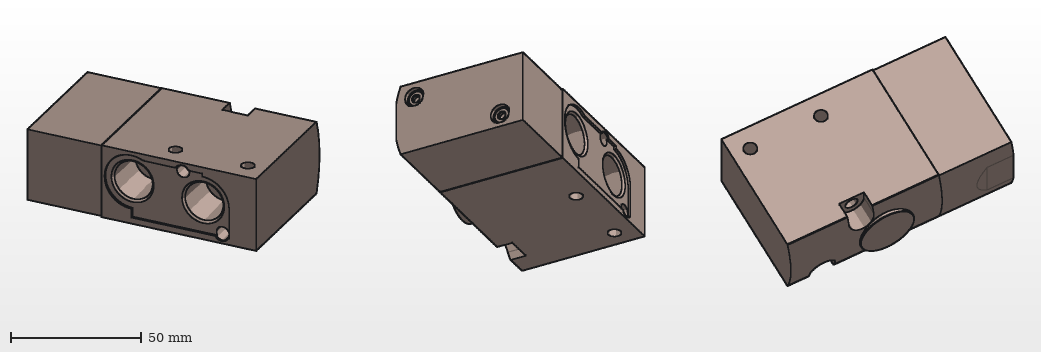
import cadquery as cq
import math

LENGTH = 97.5
HEIGHT = 31.0
REACH = 57.0
MID_Z = HEIGHT / 2

CAP_LENGTH = 31.6
CAP_INSET = 0.3
CAP_TIP_Y = 55.6
CAP_RAMP_START = 11.7
CAP_RAMP_END = 16.6

CROWN_Y = 56.4
CROWN_EDGE_Y = 53.6
CROWN_RISE = CROWN_Y - CROWN_EDGE_Y
CROWN_RADIUS = (MID_Z ** 2 + CROWN_RISE ** 2) / (2 * CROWN_RISE)
CROWN_CHAMFER = 0.2

BOSS_DIAMETER = 23.5
BOSS_X = 55.8
BOSS_Z = 13.0
BOSS_CHAMFER = 0.2

PORT_DIAMETER = 16.2
PORT_END_DIAMETER = 15.5
PORT_MOUTH_DIAMETER = 18.0
PORT_CHAMFER = (PORT_MOUTH_DIAMETER - PORT_DIAMETER) / 2
PORT_DEPTH = 19.5
LEFT_PORT = (44.5, 17.9)
RIGHT_PORT = (74.5, MID_Z)
RECESS_RADIUS = 11.5
RECESS_TOP = 28.3
RECESS_BOTTOM = 2.6
RECESS_DEPTH = 1.0

HOLE_DIAMETER = 5.4
HOLE_MOUTH_DIAMETER = 6.0
HOLE_CHAMFER = (HOLE_MOUTH_DIAMETER - HOLE_DIAMETER) / 2
UPPER_HOLE_Z = 27.0
CROSS_HOLES = ((66.0, UPPER_HOLE_Z), (82.9, HEIGHT - UPPER_HOLE_Z))
CROSS_SEAT_WIDTH = 10.8
CROSS_SEAT_Y = 46.9
VERTICAL_HOLES = ((58.9, 9.0), (89.7, 9.0))

SCREW_PLACES = ((10.3, 6.0), (47.8, 24.4))
COUNTERBORE_DIAMETER = 8.0
HEAD_DIAMETER = 7.0
HEAD_TOP_DIAMETER = 6.0
HEAD_SINK = 1.5
HEAD_HEIGHT = 3.9
HEAD_CHAMFER = (HEAD_DIAMETER - HEAD_TOP_DIAMETER) / 2
SOCKET_MOUTH_DIAMETER = 3.5
SOCKET_DIAMETER = 3.0
SOCKET_CHAMFER = (SOCKET_MOUTH_DIAMETER - SOCKET_DIAMETER) / 2
SOCKET_DEPTH = 1.5
SOCKET_CONE_DEPTH = 0.9

INWARD = cq.Vector(0, 1, 0)


def crown_y(z):
    """Y of the crowned rear face at height z."""
    return CROWN_Y - CROWN_RADIUS + math.sqrt(CROWN_RADIUS ** 2 - (z - MID_Z) ** 2)


def crowned_block(x_start, x_end, inset):
    """Block along X with a crowned rear face, inset on its front, top and bottom."""
    low, high = inset, HEIGHT - inset
    return (
        cq.Workplane("YZ", origin=(x_start, 0, 0))
        .moveTo(inset, low)
        .lineTo(crown_y(low), low)
        .threePointArc((CROWN_Y, MID_Z), (crown_y(high), high))
        .lineTo(inset, high)
        .close()
        .extrude(x_end - x_start)
    )


def cylinder_y(place, diameter, y_start, y_end):
    """Cylinder along +Y centred on place (X, Z)."""
    x, z = place
    start = cq.Vector(x, y_start, z)
    return cq.Workplane(cq.Solid.makeCylinder(diameter / 2, y_end - y_start, start, INWARD))


def cone_y(place, start_diameter, end_diameter, y_start, y_end):
    """Truncated cone along +Y centred on place (X, Z)."""
    x, z = place
    start = cq.Vector(x, y_start, z)
    length = y_end - y_start
    return cq.Workplane(cq.Solid.makeCone(start_diameter / 2, end_diameter / 2, length, start, INWARD))


def port_cutter(place):
    """Blind tapered port with a chamfered mouth, opening on the recess floor."""
    bore_y = RECESS_DEPTH + PORT_CHAMFER
    mouth = cone_y(place, PORT_MOUTH_DIAMETER, PORT_DIAMETER, RECESS_DEPTH, bore_y)
    bore = cone_y(place, PORT_DIAMETER, PORT_END_DIAMETER, bore_y, PORT_DEPTH)
    return mouth.union(bore)


def recess_cutter():
    """Shallow front recess bounded by arcs round the two ports."""
    left_x, left_z = LEFT_PORT
    right_x, right_z = RIGHT_PORT
    right_edge = right_x + RECESS_RADIUS
    top_left_x = left_x + math.sqrt(RECESS_RADIUS ** 2 - (RECESS_TOP - left_z) ** 2)
    diagonal = RECESS_RADIUS * math.sqrt(0.5)
    return (
        cq.Workplane("XZ")
        .moveTo(left_x, left_z - RECESS_RADIUS)
        .lineTo(left_x, RECESS_BOTTOM)
        .lineTo(right_edge, RECESS_BOTTOM)
        .lineTo(right_edge, right_z)
        .threePointArc((right_x + diagonal, right_z + diagonal), (right_x, right_z + RECESS_RADIUS))
        .lineTo(right_x, RECESS_TOP)
        .lineTo(top_left_x, RECESS_TOP)
        .threePointArc((left_x - RECESS_RADIUS, left_z), (left_x, left_z - RECESS_RADIUS))
        .close()
        .extrude(-RECESS_DEPTH)
    )


def cross_seat_cutter(place):
    """Round-bottomed rear slot that opens through the nearer of the top and bottom faces."""
    x, z = place
    open_z = HEIGHT if z > MID_Z else 0
    length = REACH - CROSS_SEAT_Y
    slot = (
        cq.Workplane("XY")
        .box(CROSS_SEAT_WIDTH, length, abs(open_z - z))
        .translate((x, CROSS_SEAT_Y + length / 2, (z + open_z) / 2))
    )
    return slot.union(cylinder_y(place, CROSS_SEAT_WIDTH, CROSS_SEAT_Y, REACH))


def make_body():
    """Valve body with rear boss, front ports and mounting holes."""
    body = crowned_block(CAP_LENGTH, LENGTH, 0)
    body = body.edges("|X").edges(">Y").chamfer(CROWN_CHAMFER)
    boss = cylinder_y((BOSS_X, BOSS_Z), BOSS_DIAMETER, CROSS_SEAT_Y, REACH)
    body = body.union(boss.faces(">Y").chamfer(BOSS_CHAMFER))
    body = body.cut(recess_cutter())
    for place in (LEFT_PORT, RIGHT_PORT):
        body = body.cut(port_cutter(place))
    for place in CROSS_HOLES:
        body = body.cut(cylinder_y(place, HOLE_DIAMETER, 0, REACH))
        body = body.cut(cone_y(place, HOLE_MOUTH_DIAMETER, HOLE_DIAMETER, 0, HOLE_CHAMFER))
        body = body.cut(cross_seat_cutter(place))
    vertical = cq.Workplane("XY").pushPoints(VERTICAL_HOLES).circle(HOLE_DIAMETER / 2).extrude(HEIGHT)
    return body.cut(vertical)


def make_cap():
    """End cap with a ramped rear relief and two screw counterbores."""
    cap = crowned_block(0, CAP_LENGTH, CAP_INSET)
    relief = (
        cq.Workplane("XY")
        .moveTo(0, CAP_TIP_Y)
        .lineTo(CAP_RAMP_START, CAP_TIP_Y)
        .lineTo(CAP_RAMP_END, CROWN_Y)
        .lineTo(0, CROWN_Y)
        .close()
        .extrude(HEIGHT)
    )
    clearance = cq.Workplane("YZ").pushPoints(SCREW_PLACES).circle(COUNTERBORE_DIAMETER / 2)
    seat = cq.Workplane("YZ").pushPoints(SCREW_PLACES).circle(HEAD_DIAMETER / 2)
    cap = cap.cut(relief)
    cap = cap.cut(clearance.extrude(HEAD_SINK + HEAD_CHAMFER))
    return cap.cut(seat.extrude(HEAD_SINK + HEAD_HEIGHT))


def make_screw(place):
    """Screw head with a chamfered rim and a cone-bottomed socket, turned about X."""
    y, z = place
    mouth_radius = SOCKET_MOUTH_DIAMETER / 2
    socket_radius = SOCKET_DIAMETER / 2
    head_radius = HEAD_DIAMETER / 2
    return (
        cq.Workplane("XY")
        .moveTo(SOCKET_DEPTH + SOCKET_CONE_DEPTH, 0)
        .lineTo(SOCKET_DEPTH, socket_radius)
        .lineTo(SOCKET_CHAMFER, socket_radius)
        .lineTo(0, mouth_radius)
        .lineTo(0, HEAD_TOP_DIAMETER / 2)
        .lineTo(HEAD_CHAMFER, head_radius)
        .lineTo(HEAD_HEIGHT, head_radius)
        .lineTo(HEAD_HEIGHT, 0)
        .close()
        .revolve(360, (0, 0, 0), (1, 0, 0))
        .translate((HEAD_SINK, y, z))
    )


body = make_body()
cap = make_cap()
screws = [make_screw(place) for place in SCREW_PLACES]

result = cq.Compound.makeCompound([body.val(), cap.val(), *[screw.val() for screw in screws]])